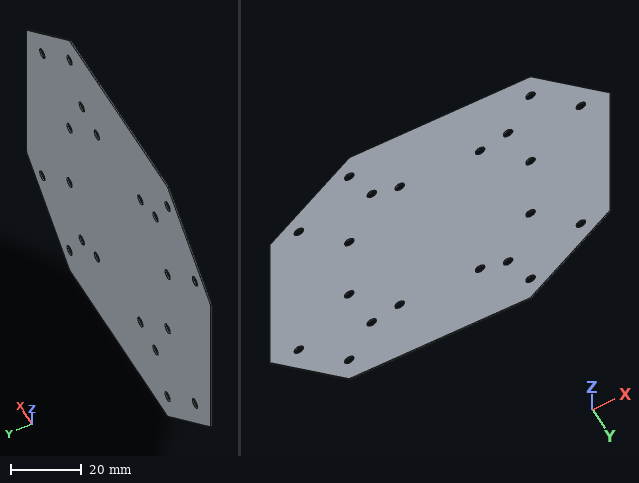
import cadquery as cq

plate_width = 110.0
plate_thickness = 0.5
flat_half_length = 29.3

hole_diameter = 3.0
outer_hole_offset = 45.5
inner_hole_offset = 13.0
extra_hole_x = 22.0
extra_hole_z = 31.9


def mirrored(x, z):
    """Return the four reflections of a point about both plate axes."""
    return [(sx * x, sz * z) for sx in (-1, 1) for sz in (-1, 1)]


def make_plate():
    corner_cut = plate_width / 2 - flat_half_length
    return (
        cq.Workplane("XY")
        .box(plate_width, plate_thickness, plate_width)
        .edges("|Y")
        .chamfer(corner_cut)
    )


def drill_holes(plate):
    quadrant_holes = [
        (flat_half_length, outer_hole_offset),
        (outer_hole_offset, flat_half_length),
        (flat_half_length, inner_hole_offset),
        (inner_hole_offset, flat_half_length),
        (extra_hole_x, extra_hole_z),
    ]
    points = [point for x, z in quadrant_holes for point in mirrored(x, z)]
    drills = (
        cq.Workplane("XZ")
        .pushPoints(points)
        .circle(hole_diameter / 2)
        .extrude(plate_thickness, both=True)
    )
    return plate.cut(drills)


result = drill_holes(make_plate())